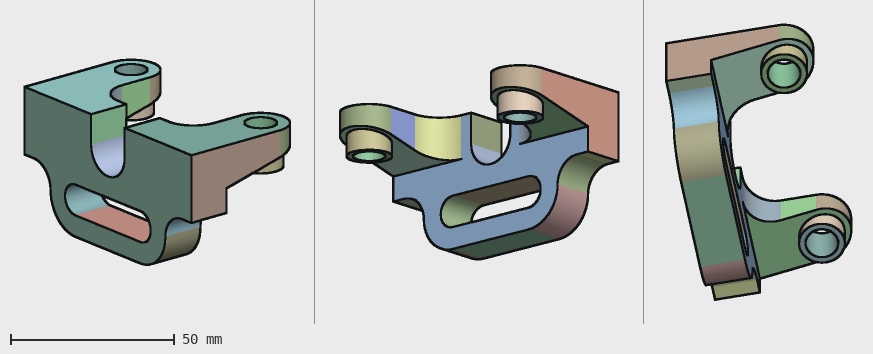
import cadquery as cq

width = 80.0
plate_thickness = 14.0
shoulder_height = 22.0
height = 42.0

tongue_width = 55.0
tongue_corner_radius = 12.0
shoulder_fillet_radius = height - shoulder_height - tongue_corner_radius
tongue_corner_z = -(height - tongue_corner_radius)

slot_width = 10.0
slot_center_spacing = tongue_width - 2 * tongue_corner_radius

notch_width = 16.0
notch_depth = 18.0

arm_width = 18.0
arm_end_radius = arm_width / 2
arm_center_y = 35.0
arm_root_radius = 10.0
arm_root_depth = 14.0
arm_tip_depth = 6.65
hole_diameter = 10.0
boss_diameter = 14.0
boss_bottom_depth = 14.0

depth = arm_center_y + arm_end_radius
arm_center_x = width / 2 - arm_end_radius
arm_inner_x = width / 2 - arm_width


def make_plate():
    """Upright plate with a narrower tongue, front face on Y = 0, top on Z = 0."""
    half_tongue = tongue_width / 2
    body = (
        cq.Workplane("XY")
        .box(width, plate_thickness, shoulder_height, centered=(True, False, False))
        .translate((0, 0, -shoulder_height))
    )
    tongue = (
        cq.Workplane("XZ")
        .moveTo(-half_tongue - shoulder_fillet_radius, -shoulder_height)
        .radiusArc((-half_tongue, tongue_corner_z), shoulder_fillet_radius)
        .radiusArc((-half_tongue + tongue_corner_radius, -height), -tongue_corner_radius)
        .lineTo(half_tongue - tongue_corner_radius, -height)
        .radiusArc((half_tongue, tongue_corner_z), -tongue_corner_radius)
        .radiusArc((half_tongue + shoulder_fillet_radius, -shoulder_height), shoulder_fillet_radius)
        .close()
        .extrude(-plate_thickness)
    )
    return body.union(tongue)


def make_arms():
    """Both arms: a U-shaped plan trimmed to a sloping underside."""
    half_width = width / 2
    plan = (
        cq.Workplane("XY")
        .moveTo(-half_width, 0)
        .lineTo(half_width, 0)
        .lineTo(half_width, arm_center_y)
        .threePointArc((arm_center_x, depth), (arm_inner_x, arm_center_y))
        .lineTo(arm_inner_x, plate_thickness + arm_root_radius)
        .radiusArc((arm_inner_x - arm_root_radius, plate_thickness), arm_root_radius)
        .lineTo(-arm_inner_x + arm_root_radius, plate_thickness)
        .radiusArc((-arm_inner_x, plate_thickness + arm_root_radius), arm_root_radius)
        .lineTo(-arm_inner_x, arm_center_y)
        .threePointArc((-arm_center_x, depth), (-half_width, arm_center_y))
        .close()
        .extrude(-arm_root_depth)
    )
    side_profile = (
        cq.Workplane("YZ")
        .polyline([
            (0, 0),
            (depth, 0),
            (depth, -arm_tip_depth),
            (plate_thickness, -arm_root_depth),
            (0, -arm_root_depth),
        ])
        .close()
        .extrude(half_width, both=True)
    )
    return plan.intersect(side_profile)


def cylinders_at_arm_ends(diameter, length):
    """Vertical cylinders below Z = 0, one on each arm axis."""
    return (
        cq.Workplane("XY")
        .pushPoints([(-arm_center_x, arm_center_y), (arm_center_x, arm_center_y)])
        .circle(diameter / 2)
        .extrude(-length)
    )


def make_adjusting_slot():
    """Cutter for the long slot through the tongue."""
    return (
        cq.Workplane("XZ")
        .center(0, tongue_corner_z)
        .slot2D(slot_center_spacing + slot_width, slot_width)
        .extrude(-plate_thickness)
    )


def make_top_notch():
    """Cutter for the notch open at the top edge."""
    radius = notch_width / 2
    arc_z = -(notch_depth - radius)
    return (
        cq.Workplane("XZ")
        .moveTo(-radius, 0)
        .lineTo(-radius, arc_z)
        .threePointArc((0, -notch_depth), (radius, arc_z))
        .lineTo(radius, 0)
        .close()
        .extrude(-plate_thickness)
    )


bosses = cylinders_at_arm_ends(boss_diameter, boss_bottom_depth)
pin_holes = cylinders_at_arm_ends(hole_diameter, boss_bottom_depth)

result = (
    make_plate()
    .union(make_arms())
    .union(bosses)
    .cut(pin_holes)
    .cut(make_adjusting_slot())
    .cut(make_top_notch())
)